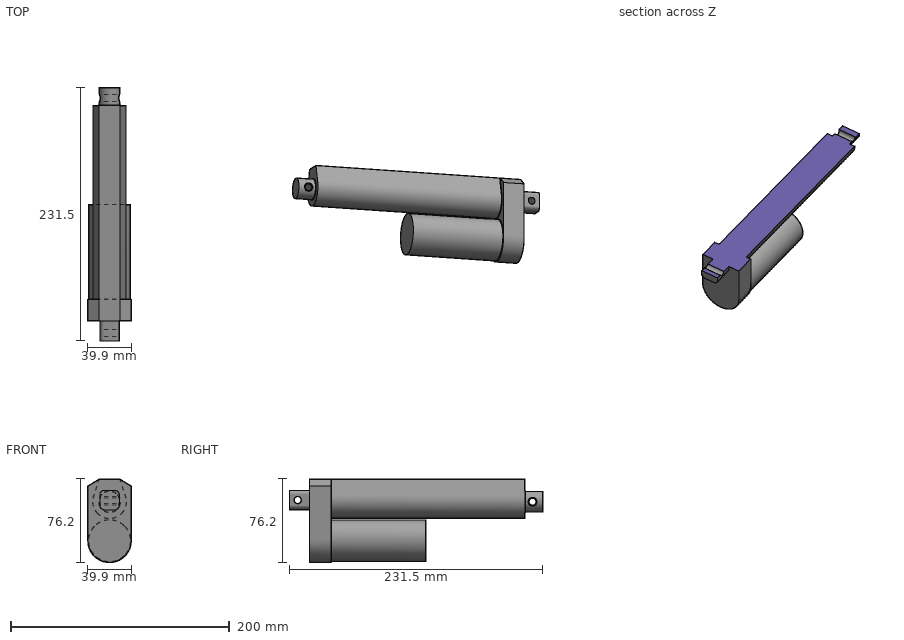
import cadquery as cq
import math

overall_length = 231.54
overall_height = 76.2

housing_width = 39.88
housing_depth = 19.8
top_flat_width = 19.05
housing_shoulder_drop = 6.35

tube_diameter = 30.48
tube_top_z = 20.57
rod_length = 16.38
rod_diameter = 19.05
rod_collar_diameter = 19.81
rod_collar_length = 0.508
rod_hole_from_end = 9.4
rod_hole_chamfer = 0.8

motor_diameter = 38.1
motor_end_y = 106.25

motor_flange_diameter = 38.61
flange_rim = (motor_flange_diameter - motor_diameter) / 2
flange_thickness = 0.508

lug_length = 18.4
lug_width = 17.8
lug_chamfer = 2.54
lug_blend_radius = 3.3
lug_drop_from_top = 19.05
lug_hole_from_end = 7.62

pin_hole_diameter = 6.35

motor_z = tube_top_z - overall_height + housing_width / 2
flange_end_y = housing_depth + flange_thickness
lug_z = tube_top_z - lug_drop_from_top
rod_end_y = overall_length - lug_length
tube_end_y = rod_end_y - rod_length
rod_hole_y = rod_end_y - rod_hole_from_end


def cylinder_to(y_end, diameter, z):
    """Cylinder along Y from the housing front face back to y_end."""
    return cq.Workplane("XZ").center(0, z).circle(diameter / 2).extrude(-y_end)


def cross_hole(y, z):
    """Cutter for a pin hole running right through along X."""
    return (
        cq.Workplane("YZ", origin=(0, y, z))
        .circle(pin_hole_diameter / 2)
        .extrude(housing_width, both=True)
    )


def make_housing():
    half_width = housing_width / 2
    half_flat = top_flat_width / 2
    shoulder_z = tube_top_z - housing_shoulder_drop
    return (
        cq.Workplane("XZ")
        .moveTo(-half_flat, tube_top_z)
        .lineTo(half_flat, tube_top_z)
        .lineTo(half_width, shoulder_z)
        .lineTo(half_width, motor_z)
        .threePointArc((0, motor_z - half_width), (-half_width, motor_z))
        .lineTo(-half_width, shoulder_z)
        .close()
        .extrude(-housing_depth)
    )


def tube_profile_bar(radius, length):
    """Round bar with a flat top, joined by slopes that leave the flat and touch the round."""
    half_flat = top_flat_width / 2
    corner_distance = math.hypot(half_flat, tube_top_z)
    corner_angle = math.atan2(tube_top_z, half_flat)
    tangent_angle = corner_angle - math.acos(radius / corner_distance)
    tangent_x = radius * math.cos(tangent_angle)
    tangent_z = radius * math.sin(tangent_angle)
    return (
        cq.Workplane("XZ")
        .moveTo(-half_flat, tube_top_z)
        .lineTo(half_flat, tube_top_z)
        .lineTo(tangent_x, tangent_z)
        .threePointArc((0, -radius), (-tangent_x, tangent_z))
        .close()
        .extrude(-length)
    )


def make_tube():
    radius = tube_diameter / 2
    flange = tube_profile_bar(radius + flange_rim, flange_end_y)
    return tube_profile_bar(radius, tube_end_y).union(flange)


def make_motor():
    flange = cylinder_to(flange_end_y, motor_flange_diameter, motor_z)
    return cylinder_to(motor_end_y, motor_diameter, motor_z).union(flange)


def make_rod_end():
    """Rod stub with a low collar at its root and a cross hole chamfered at both mouths."""
    collar_end_y = tube_end_y + rod_collar_length
    collar = cylinder_to(collar_end_y, rod_collar_diameter, 0)
    rod = cylinder_to(rod_end_y, rod_diameter, 0)
    rod = rod.cut(cross_hole(rod_hole_y, 0))
    rim = cq.selectors.BoxSelector(
        (-rod_diameter, rod_hole_y - pin_hole_diameter, -pin_hole_diameter),
        (rod_diameter, rod_hole_y + pin_hole_diameter, pin_hole_diameter),
    )
    return rod.edges(rim).edges("not |X").chamfer(rod_hole_chamfer).union(collar)


def make_lug():
    lug = (
        cq.Workplane("XZ")
        .center(0, lug_z)
        .rect(lug_width, lug_width)
        .extrude(lug_length)
        .edges("|Y")
        .chamfer(lug_chamfer)
        .edges("|Y")
        .fillet(lug_blend_radius)
    )
    return lug.cut(cross_hole(lug_hole_from_end - lug_length, lug_z))


result = make_housing()
for component in (make_tube(), make_motor(), make_rod_end(), make_lug()):
    result = result.union(component)